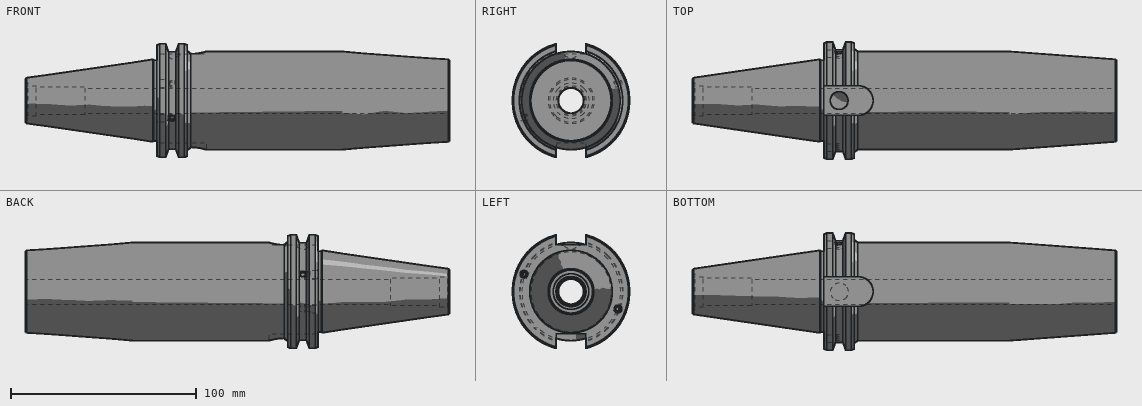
import cadquery as cq
import math

length = 228.2
taper_end = 68.5
flange_front = 70.8
flange_back = 87.2
nose_start = 170.7

taper_large_dia = 44.5
taper_ratio = 7 / 24
neck_dia = 43.5
flange_dia = 63.2
groove_dia = 55.0
collar_dia = 55.7
body_dia = 53.0
nose_dia = 44.5
edge_chamfer = 0.7
rim_chamfer_width = 1.5

groove_center = 79.0
groove_floor_width = 3.9
groove_mouth_width = 7.0
collar_end = 89.0

through_dia = 13.5
thread_dia = 14.8
thread_depth = 32.0
pilot_dia = 16.2
pilot_depth = 5.5
mouth_dia = 19.2
mouth_depth = 1.4

slot_width = 16.0
slot_end = 97.2
top_slot_floor = 25.0
bottom_slot_floor = 22.5
dimple_dia = 9.5
dimple_angle = 120

coolant_y = 25.3
coolant_z = 9.4
coolant_dia = 4.0
coolant_pilot_dia = 2.5
coolant_depth = 4.5
outlet_dia = 3.2


def revolve_outline():
    """Taper, grooved flange, body and nose turned around X."""
    taper_small_radius = (taper_large_dia - taper_ratio * taper_end) / 2
    floor_half = groove_floor_width / 2
    mouth_half = groove_mouth_width / 2
    flange_radius = flange_dia / 2
    points = [
        (0, 0),
        (0, taper_small_radius - edge_chamfer),
        (edge_chamfer, taper_small_radius + edge_chamfer * taper_ratio / 2),
        (taper_end, taper_large_dia / 2),
        (taper_end + edge_chamfer, neck_dia / 2),
        (flange_front, neck_dia / 2),
        (flange_front, flange_radius - edge_chamfer),
        (flange_front + rim_chamfer_width, flange_radius),
        (groove_center - mouth_half, flange_radius),
        (groove_center - floor_half, groove_dia / 2),
        (groove_center + floor_half, groove_dia / 2),
        (groove_center + mouth_half, flange_radius),
        (flange_back - rim_chamfer_width, flange_radius),
        (flange_back, flange_radius - edge_chamfer),
        (flange_back, collar_dia / 2),
        (collar_end, body_dia / 2),
        (nose_start, body_dia / 2),
        (length - edge_chamfer, nose_dia / 2),
        (length, nose_dia / 2 - edge_chamfer),
        (length, 0),
    ]
    return cq.Workplane("XY").polyline(points).close().revolve(360, (0, 0, 0), (1, 0, 0))


def axial_hole(dia, start, depth, y=0, z=0):
    return cq.Workplane("YZ", origin=(start, y, z)).circle(dia / 2).extrude(depth)


def drive_slot(floor, side):
    """Round-ended slot open at the flange front; side is +1 for top, -1 for bottom."""
    arc_center = slot_end - slot_width / 2
    return (
        cq.Workplane("XY", origin=(0, 0, side * floor))
        .moveTo(flange_front, -slot_width / 2)
        .lineTo(arc_center, -slot_width / 2)
        .threePointArc((slot_end, 0), (arc_center, slot_width / 2))
        .lineTo(flange_front, slot_width / 2)
        .close()
        .extrude(side * flange_dia / 2)
    )


def dimple():
    """Conical drill point in the floor of the top slot."""
    radius = dimple_dia / 2
    depth = radius / math.tan(math.radians(dimple_angle / 2))
    cone = cq.Solid.makeCone(
        radius, 0, depth, cq.Vector(groove_center, 0, top_slot_floor), cq.Vector(0, 0, -1)
    )
    return cq.Workplane(cone)


def coolant_outlet(side):
    """Radial hole from the groove floor down to the axial coolant hole."""
    outward = cq.Vector(0, side * coolant_y, side * coolant_z).normalized()
    inner_radius = math.hypot(coolant_y, coolant_z) - coolant_dia / 2
    reach = flange_dia / 2 - inner_radius
    start = outward * inner_radius + cq.Vector(groove_center, 0, 0)
    return cq.Workplane(cq.Solid.makeCylinder(outlet_dia / 2, reach, start, outward))


result = revolve_outline()

for dia, depth in (
    (through_dia, length),
    (thread_dia, thread_depth),
    (pilot_dia, pilot_depth),
    (mouth_dia, mouth_depth),
):
    result = result.cut(axial_hole(dia, 0, depth))

result = result.cut(drive_slot(top_slot_floor, 1))
result = result.cut(drive_slot(bottom_slot_floor, -1))
result = result.cut(dimple())

for side in (1, -1):
    y = side * coolant_y
    z = side * coolant_z
    result = result.cut(axial_hole(coolant_dia, flange_front, coolant_depth, y, z))
    pilot_length = groove_center - flange_front
    result = result.cut(axial_hole(coolant_pilot_dia, flange_front, pilot_length, y, z))
    result = result.cut(coolant_outlet(side))